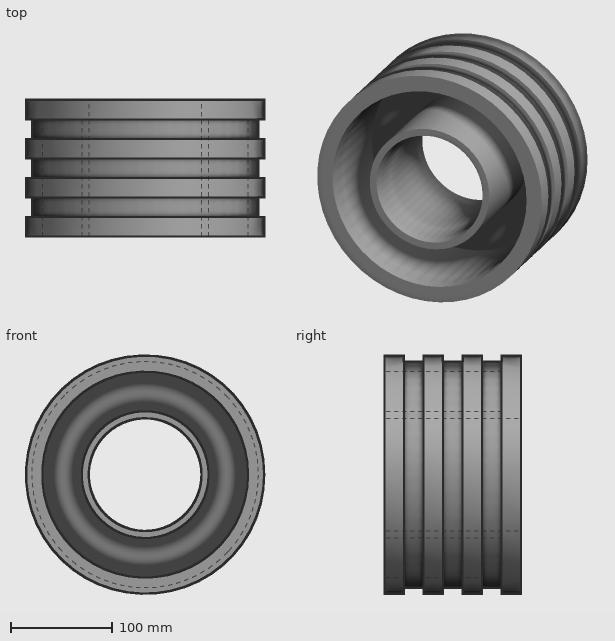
import cadquery as cq

outer_diameter = 235.0
groove_diameter = 223.2
cavity_diameter = 203.0
hub_diameter = 125.0
bore_diameter = 111.0
band_width = 19.3
groove_count = 3

length = (2 * groove_count + 1) * band_width
floor_thickness = band_width
front_y = -length / 2


def ring(outer, inner, start_y, width):
    """Ring around the Y axis, reaching from start_y toward +Y."""
    plane = cq.Workplane("XZ", origin=(0, start_y, 0))
    return plane.circle(outer / 2).circle(inner / 2).extrude(-width)


result = ring(outer_diameter, bore_diameter, front_y, length)

result = result.cut(ring(cavity_diameter, hub_diameter, front_y, length - floor_thickness))

for index in range(groove_count):
    groove_y = front_y + (2 * index + 1) * band_width
    result = result.cut(ring(outer_diameter, groove_diameter, groove_y, band_width))